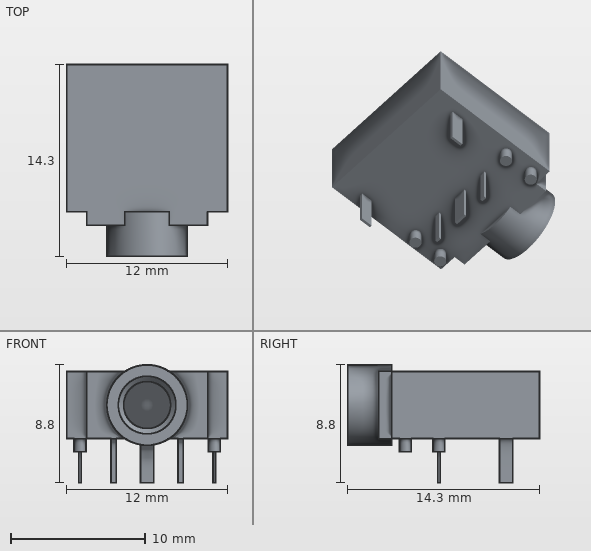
import cadquery as cq

body_width = 12.0
body_length = 11.0
body_height = 5.0
body_bottom = -body_height / 2
body_front = -body_length / 2
body_rear = body_length / 2

plate_width = 9.0
plate_thickness = 1.0

barrel_diameter = 6.0
barrel_length = 3.3
barrel_front = body_front - barrel_length
bore_diameter = 3.5
bore_depth = 11.0
bore_mouth_diameter = 4.3
mouth_depth = (bore_mouth_diameter - bore_diameter) / 2

rear_row_setback = 2.5
middle_row_setback = 7.5
front_row_setback = 10.0
rear_row_y = body_rear - rear_row_setback
middle_row_y = body_rear - middle_row_setback
front_row_y = body_rear - front_row_setback
outer_x = 5.0
inner_x = 2.5

peg_diameter = 0.9
peg_length = 1.0

leg_length = 3.3
sheet_thickness = 0.2
wide_leg_width = 1.0
narrow_leg_width = 0.4


def housing():
    """Rectangular housing with the front plate."""
    block = cq.Workplane("XY").box(body_width, body_length, body_height)
    plate = (
        cq.Workplane("XY")
        .box(plate_width, plate_thickness, body_height)
        .translate((0, body_front - plate_thickness / 2, 0))
    )
    return block.union(plate)


def barrel():
    """Round socket barrel, running forward from the housing front."""
    return (
        cq.Workplane("XZ", origin=(0, body_front, 0))
        .circle(barrel_diameter / 2)
        .extrude(barrel_length)
    )


def bore():
    """Blind socket bore with a conical mouth, revolved about the socket axis."""
    bore_radius = bore_diameter / 2
    profile = (
        cq.Workplane("XY")
        .moveTo(0, barrel_front)
        .lineTo(bore_mouth_diameter / 2, barrel_front)
        .lineTo(bore_radius, barrel_front + mouth_depth)
        .lineTo(bore_radius, barrel_front + bore_depth)
        .lineTo(0, barrel_front + bore_depth)
        .close()
    )
    return profile.revolve(360, (0, 0, 0), (0, 1, 0))


def peg(x, y):
    """Round locating peg under the housing."""
    return (
        cq.Workplane("XY", origin=(x, y, body_bottom))
        .circle(peg_diameter / 2)
        .extrude(-peg_length)
    )


def leg(x, y, size_x, size_y):
    """Flat contact leg under the housing."""
    return (
        cq.Workplane("XY", origin=(x, y, body_bottom))
        .rect(size_x, size_y)
        .extrude(-leg_length)
    )


result = housing().union(barrel()).cut(bore())

for side in (-1, 1):
    result = result.union(peg(side * outer_x, front_row_y))
    result = result.union(peg(side * outer_x, middle_row_y))
    result = result.union(leg(side * outer_x, rear_row_y, sheet_thickness, wide_leg_width))
    result = result.union(leg(side * inner_x, middle_row_y, narrow_leg_width, sheet_thickness))

result = result.union(leg(0, middle_row_y, wide_leg_width, sheet_thickness))